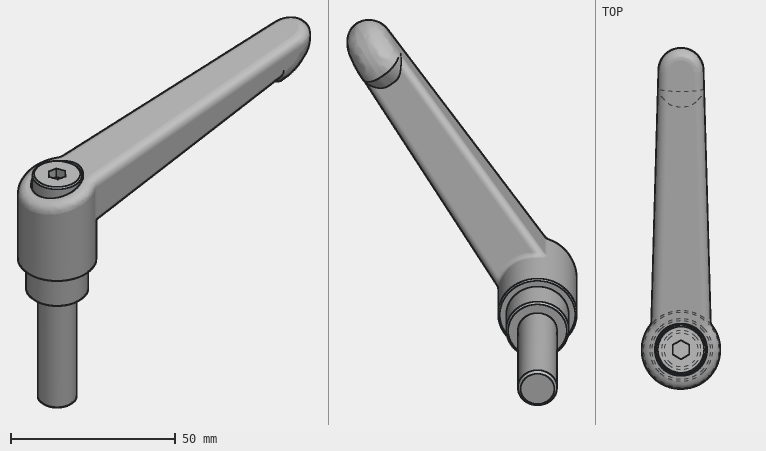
import cadquery as cq
import math

BUSH_BOTTOM = 40.2
HUB_BOTTOM = 51.2
SCREW_TOP = 83.0
SCREW_SEAT = 73.5

STUD_RADIUS = 6.0
STUD_CHAMFER = 0.8
BUSH_RADIUS = 9.5
BUSH_CHAMFER = 0.6

SCREW_RADIUS = 7.6
SCREW_CHAMFER = 0.5
SOCKET_FLATS = 5.0
SOCKET_DEPTH = 3.1
RECESS_RADIUS = 8.0

HUB_DIAMETER = 24.0
HUB_RADIUS = HUB_DIAMETER / 2
HUB_CHAMFER = 0.5
TOTAL_LENGTH = 104.0
TIP_Y = TOTAL_LENGTH - HUB_RADIUS
TOP_AXIS_HEIGHT = 80.9
TOP_ANGLE = 15.2
UNDERSIDE_AXIS_HEIGHT = 63.6
UNDERSIDE_ANGLE = 19.6
ARM_ROOT_HALF_WIDTH = 9.3
TIP_RADIUS = 6.9
TOP_ROUND = 3.0
UNDERSIDE_ROUND = 2.4
ROOT_FILLET = 1.7

KNOB_START_Y = 74.1
KNOB_LOW_POINT = (78.7, 88.0)
KNOB_MID_POINT = (86.5, 91.4)
KNOB_NOSE_HEIGHT = 101.1
KNOB_ROUND = 6.1


def top_height(y):
    return TOP_AXIS_HEIGHT + y * math.tan(math.radians(TOP_ANGLE))


def underside_height(y):
    return UNDERSIDE_AXIS_HEIGHT + y * math.tan(math.radians(UNDERSIDE_ANGLE))


def furthest_along(x, y, z):
    """Select the face lying furthest in the given direction."""
    return cq.selectors.DirectionMinMaxSelector(cq.Vector(x, y, z))


def cylinder(radius, bottom, top):
    return cq.Workplane("XY").workplane(offset=bottom).circle(radius).extrude(top - bottom)


def make_insert():
    stud = cylinder(STUD_RADIUS, 0, BUSH_BOTTOM).faces("<Z").chamfer(STUD_CHAMFER)
    bush = cylinder(BUSH_RADIUS, BUSH_BOTTOM, HUB_BOTTOM).faces("<Z").chamfer(BUSH_CHAMFER)
    return stud.union(bush)


def make_screw():
    head = cylinder(SCREW_RADIUS, SCREW_SEAT, SCREW_TOP).faces(">Z").chamfer(SCREW_CHAMFER)
    across_corners = SOCKET_FLATS / math.cos(math.pi / 6)
    socket = (
        cq.Workplane("XY")
        .workplane(offset=SCREW_TOP - SOCKET_DEPTH)
        .transformed(rotate=(0, 0, 90))
        .polygon(6, across_corners)
        .extrude(SOCKET_DEPTH)
    )
    return head.cut(socket)


def arm_plan():
    """Tapered vertical prism with a round tip; the sides are tangent to the tip arc."""
    tip_centre = TIP_Y - TIP_RADIUS
    taper = math.asin((ARM_ROOT_HALF_WIDTH - TIP_RADIUS) / tip_centre)
    tangent_x = TIP_RADIUS * math.cos(taper)
    tangent_y = tip_centre + TIP_RADIUS * math.sin(taper)
    return (
        cq.Workplane("XY")
        .moveTo(-ARM_ROOT_HALF_WIDTH, 0)
        .lineTo(-tangent_x, tangent_y)
        .threePointArc((0, TIP_Y), (tangent_x, tangent_y))
        .lineTo(ARM_ROOT_HALF_WIDTH, 0)
        .close()
        .extrude(top_height(TIP_Y))
    )


def side_prism(profile):
    """Extrude a closed YZ profile symmetrically across the hub."""
    return profile.close().extrude(HUB_RADIUS, both=True)


def make_bar():
    """Straight part of the arm with rounded underside edges."""
    end_y = KNOB_LOW_POINT[0]
    profile = (
        cq.Workplane("YZ")
        .moveTo(0, top_height(0))
        .lineTo(end_y, top_height(end_y))
        .lineTo(end_y, underside_height(end_y))
        .lineTo(0, underside_height(0))
    )
    bar = arm_plan().intersect(side_prism(profile))
    slope = math.radians(UNDERSIDE_ANGLE)
    underside = bar.faces(furthest_along(0, math.sin(slope), -math.cos(slope)))
    return underside.edges("not |X").fillet(UNDERSIDE_ROUND)


def make_knob():
    """Arm tip with a deeper, heavily rounded underside."""
    profile = (
        cq.Workplane("YZ")
        .moveTo(KNOB_START_Y, top_height(KNOB_START_Y))
        .lineTo(TIP_Y, top_height(TIP_Y))
        .lineTo(TIP_Y, KNOB_NOSE_HEIGHT)
        .threePointArc(KNOB_MID_POINT, KNOB_LOW_POINT)
        .lineTo(KNOB_START_Y, underside_height(KNOB_START_Y))
    )
    knob = arm_plan().intersect(side_prism(profile))
    lower_tip = cq.selectors.BoxSelector(
        (-HUB_RADIUS, KNOB_START_Y, 0), (HUB_RADIUS, TIP_Y, KNOB_NOSE_HEIGHT)
    )
    return knob.edges(lower_tip).edges("not(|X or |Z)").fillet(KNOB_ROUND)


def make_handle():
    top_cut = (
        cq.Workplane("YZ")
        .moveTo(-HUB_RADIUS, HUB_BOTTOM)
        .lineTo(HUB_RADIUS, HUB_BOTTOM)
        .lineTo(HUB_RADIUS, top_height(HUB_RADIUS))
        .lineTo(-HUB_RADIUS, top_height(-HUB_RADIUS))
    )
    hub = cylinder(HUB_RADIUS, HUB_BOTTOM, SCREW_TOP + HUB_RADIUS).intersect(side_prism(top_cut))
    hub = hub.faces("<Z").chamfer(HUB_CHAMFER)
    handle = hub.union(make_bar()).union(make_knob()).clean()

    root = cq.selectors.BoxSelector(
        (-HUB_RADIUS, HUB_RADIUS / 2, HUB_BOTTOM), (HUB_RADIUS, HUB_RADIUS, SCREW_TOP)
    )
    handle = handle.edges(root).edges("|Z").fillet(ROOT_FILLET)
    slope = math.radians(TOP_ANGLE)
    handle = handle.faces(furthest_along(0, -math.sin(slope), math.cos(slope))).edges().fillet(TOP_ROUND)
    return handle.cut(cylinder(RECESS_RADIUS, SCREW_SEAT, SCREW_TOP + HUB_RADIUS))

result = cq.Compound.makeCompound([make_insert().val(), make_screw().val(), make_handle().val()])